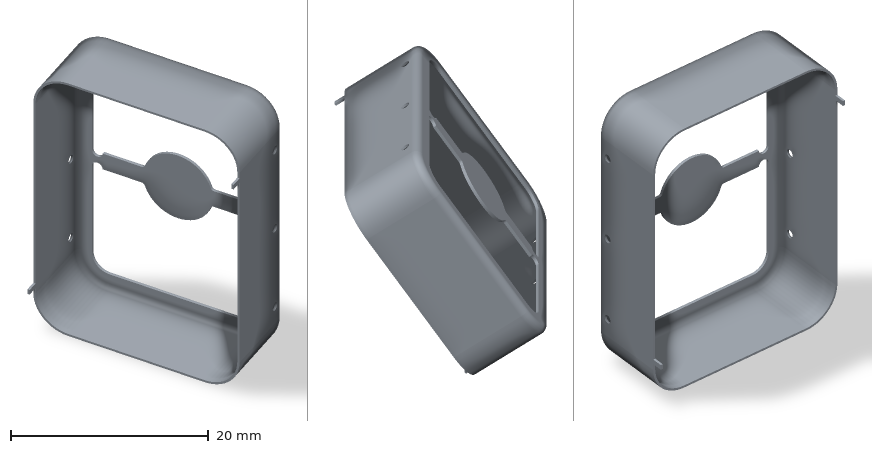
import cadquery as cq

width = 23.8
height = 32.3
body_depth = 8.98
wall = 0.25
plate_thickness = 0.32
corner_radius = 4.0
back_edge_radius = 0.8

rim = 2.0
window_width = width - 2 * rim
window_height = height - 2 * rim
window_corner_radius = corner_radius - rim

disc_diameter = 8.0
bar_height = 2.0
bar_blend_radius = 0.4
notch_radius = 0.6

hole_diameter = 0.95
hole_pitch = 10.0
hole_from_back = 1.58

total_depth = 10.2
pin_length = total_depth - body_depth
pin_height = 0.58
pin_offset_z = 11.15

front_y = -body_depth / 2
back_y = body_depth / 2


def rounded_block(size_x, size_z, y_start, y_end, radius):
    """Block centred on the Y axis with rounded corners along Y."""
    return (
        cq.Workplane("XY")
        .box(size_x, y_end - y_start, size_z)
        .edges("|Y")
        .fillet(radius)
        .translate((0, (y_start + y_end) / 2, 0))
    )


def make_shell():
    outer = rounded_block(width, height, front_y, back_y, corner_radius)
    outer = outer.faces(">Y").edges().fillet(back_edge_radius)
    cavity = rounded_block(
        width - 2 * wall, height - 2 * wall, front_y, back_y - plate_thickness, corner_radius - wall
    )
    cavity = cavity.faces(">Y").edges().fillet(back_edge_radius - wall)
    return outer.cut(cavity)


def make_window():
    return rounded_block(
        window_width, window_height, back_y - 2 * plate_thickness, back_y + wall, window_corner_radius
    )


def make_disc_and_bar():
    plate = cq.Workplane("XZ", origin=(0, back_y, 0))
    disc = plate.circle(disc_diameter / 2).extrude(plate_thickness)
    bar = plate.rect(window_width + rim, bar_height).extrude(plate_thickness)
    junction_box = cq.selectors.BoxSelector(
        (-disc_diameter / 2, front_y, -bar_height),
        (disc_diameter / 2, back_y + wall, bar_height),
    )
    carrier = disc.union(bar).edges("|Y").edges(junction_box).fillet(bar_blend_radius)

    notch_x = window_width / 2 - notch_radius
    notch_z = bar_height / 2
    notch_centres = [(x, z) for x in (-notch_x, notch_x) for z in (-notch_z, notch_z)]
    notches = plate.pushPoints(notch_centres).circle(notch_radius).extrude(plate_thickness)
    return carrier.cut(notches)


def make_side_holes():
    centres = [(back_y - hole_from_back, row * hole_pitch) for row in (-1, 0, 1)]
    return cq.Workplane("YZ").pushPoints(centres).circle(hole_diameter / 2).extrude(width, both=True)


def make_pin(side):
    """Pin on the +X wall (side = 1, upper) or the -X wall (side = -1, lower)."""
    return cq.Workplane("XY").box(wall, pin_length + wall, pin_height).translate(
        (side * (width - wall) / 2, front_y - (pin_length - wall) / 2, side * pin_offset_z)
    )


result = make_shell().cut(make_window()).union(make_disc_and_bar()).cut(make_side_holes())
for side in (-1, 1):
    result = result.union(make_pin(side))